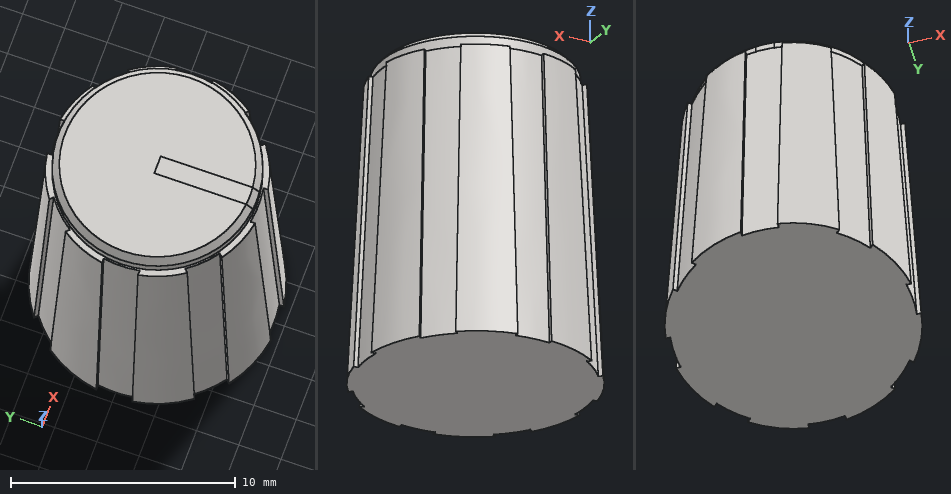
import cadquery as cq

total_height = 15.2
cap_height = 0.84
skirt_height = total_height - cap_height

skirt_bottom_radius = 5.75
skirt_top_radius = 5.0
groove_depth = 0.21
groove_width = 1.7
groove_count = 8

cap_radius = 4.7
cap_edge_chamfer = 0.32
pointer_width = 0.85


def make_frustum(bottom_radius, top_radius):
    """Solid cone section standing on Z = 0, as high as the skirt."""
    profile = [(0, 0), (bottom_radius, 0), (top_radius, skirt_height), (0, skirt_height)]
    return cq.Workplane("XZ").polyline(profile).close().revolve(360, (0, 0, 0), (0, 1, 0))


def make_groove_cutter(core, angle):
    """Radial bar less the groove-floor cone, turned to its place about Z."""
    bar = cq.Workplane("XY").box(
        skirt_bottom_radius + groove_depth, groove_width, skirt_height, centered=(False, True, False)
    )
    return bar.rotate((0, 0, 0), (0, 0, 1), angle).cut(core)


def make_skirt():
    """Tapered grip whose grooves keep a constant width and radial depth."""
    skirt = make_frustum(skirt_bottom_radius, skirt_top_radius)
    core = make_frustum(skirt_bottom_radius - groove_depth, skirt_top_radius - groove_depth)
    for index in range(groove_count):
        skirt = skirt.cut(make_groove_cutter(core, index * 360 / groove_count))
    return skirt


def make_cap_disc():
    """Complete disc on top of the skirt, before the pointer slot is cut."""
    disc = cq.Workplane("XY").workplane(offset=skirt_height).circle(cap_radius).extrude(cap_height)
    return disc.faces(">Z").edges().chamfer(cap_edge_chamfer)


def make_pointer_block():
    """Bar from the axis past the -Y edge of the cap, through its full height."""
    return (
        cq.Workplane("XY")
        .box(pointer_width, 2 * cap_radius, cap_height, centered=(True, False, False))
        .translate((0, -2 * cap_radius, skirt_height))
    )


def make_cap():
    """Cap with an open slot that receives the pointer."""
    return make_cap_disc().cut(make_pointer_block())


def make_pointer():
    """Pointer inlay that follows the cap's rim and chamfer."""
    return make_cap_disc().intersect(make_pointer_block())


skirt = make_skirt()
cap = make_cap()
pointer = make_pointer()

result = cq.Compound.makeCompound([skirt.val(), cap.val(), pointer.val()])